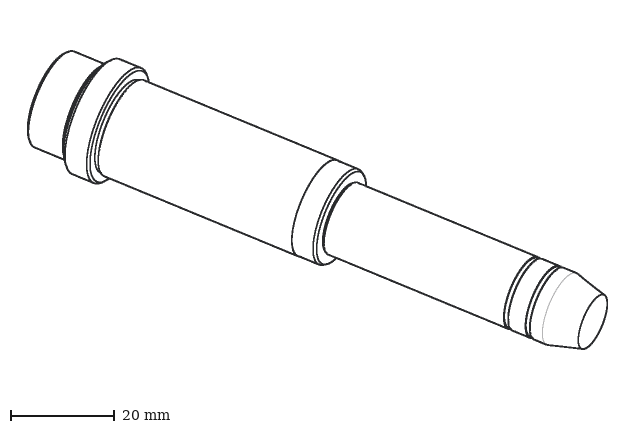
import cadquery as cq
import math


total_length = 120.0
collar_start = 9.0
collar_width = 6.0
body_end = 64.2
lead_in_length = 5.3
nose_length = 7.0

body_diameter = 20.0
lead_in_diameter = 19.9
collar_diameter = 24.0
shaft_diameter = 15.0

head_chamfer = 0.5
collar_front_chamfer = 0.7
collar_back_chamfer = 0.5
body_end_chamfer_length = 0.6
body_end_chamfer_depth = 0.4
nose_angle = 15.0

head_relief_width = 1.0
body_relief_width = 1.0
collar_relief_depth = 0.4
shaft_relief_width = 0.4
shaft_relief_depth = 0.2
ring_groove_starts = (104.5, 109.3)
ring_groove_width = 1.0
ring_groove_depth = 0.2

collar_end = collar_start + collar_width
nose_start = total_length - nose_length
nose_tip_diameter = shaft_diameter - 2 * nose_length * math.tan(math.radians(nose_angle))


def cylinder(start, end, diameter):
    """Solid cylinder along X between two axial positions."""
    return cq.Workplane("YZ", origin=(start, 0, 0)).circle(diameter / 2).extrude(end - start)


def frustum(start, end, start_diameter, end_diameter):
    """Solid cone frustum along X between two axial positions."""
    return (
        cq.Workplane("YZ", origin=(start, 0, 0))
        .circle(start_diameter / 2)
        .workplane(offset=end - start)
        .circle(end_diameter / 2)
        .loft()
    )


def ring_groove(start, width, depth, surface_diameter):
    """Ring-shaped cutter for a square groove in a cylindrical surface."""
    outer = cylinder(start, start + width, surface_diameter + 2 * depth)
    return outer.cut(cylinder(start, start + width, surface_diameter - 2 * depth))


def make_head():
    return cylinder(0, collar_start, body_diameter).faces("<X").chamfer(head_chamfer)


def make_collar():
    collar = cylinder(collar_start, collar_end, collar_diameter)
    collar = collar.faces("<X").chamfer(collar_front_chamfer)
    return collar.faces(">X").chamfer(collar_back_chamfer)


def make_body():
    lead_in_start = body_end - lead_in_length
    chamfer_start = body_end - body_end_chamfer_length
    chamfered_diameter = lead_in_diameter - 2 * body_end_chamfer_depth
    body = cylinder(collar_end, lead_in_start, body_diameter)
    lead_in = cylinder(lead_in_start, chamfer_start, lead_in_diameter)
    chamfer = frustum(chamfer_start, body_end, lead_in_diameter, chamfered_diameter)
    return body.union(lead_in).union(chamfer)


def make_shaft():
    shaft = cylinder(body_end, nose_start, shaft_diameter)
    nose = frustum(nose_start, total_length, shaft_diameter, nose_tip_diameter)
    return shaft.union(nose)


result = make_head().union(make_collar()).union(make_body()).union(make_shaft())

head_relief_start = collar_start - head_relief_width
result = result.cut(ring_groove(head_relief_start, head_relief_width, collar_relief_depth, body_diameter))
result = result.cut(ring_groove(collar_end, body_relief_width, collar_relief_depth, body_diameter))

result = result.cut(ring_groove(body_end, shaft_relief_width, shaft_relief_depth, shaft_diameter))

for groove_start in ring_groove_starts:
    result = result.cut(ring_groove(groove_start, ring_groove_width, ring_groove_depth, shaft_diameter))